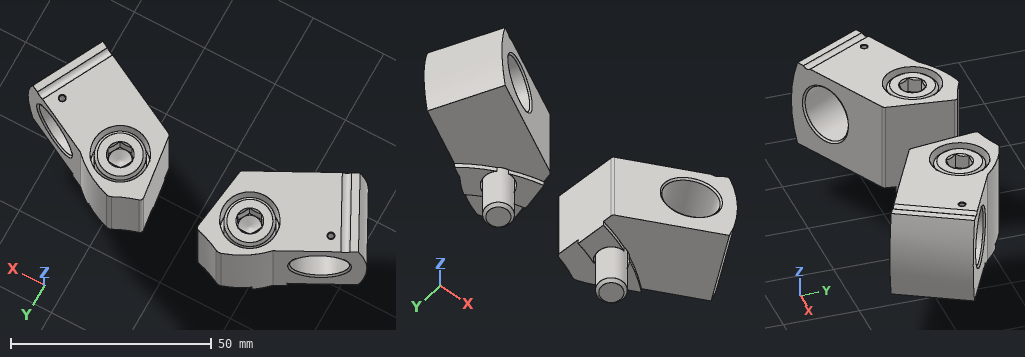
import cadquery as cq
import math


screw_pitch_radius = 43.6
screw_pitch_angle = 25.0
rib_width = 8.5
rib_height = 1.5
seat_radius = 32.1
nose_outer_angle = 28.9
nose_inner_angle = 13.7

block_angle = 27.5
block_height = 24.0
end_along = -29.4
inner_along = 2.6
front_across = -13.1
back_across = 8.0
bulge_radius = 35.0
bump_along = -6.0
bump_radius = 26.3
nose_outer_fillet = 1.9
nose_inner_fillet = 1.0
inner_edge_fillet = 1.0

bore_diameter = 14.9
bore_along = -17.5
bore_height = 12.9
bore_chamfer = 0.5
groove_width = 2.3
groove_depth = 0.5
groove_along = -24.0
vent_diameter = 1.5
vent_chamfer = 0.2
vent_along = -20.3
vent_across = 3.8

thread_diameter = 8.0
thread_end = -14.6
thread_chamfer = 0.9
head_diameter = 13.0
head_height = 8.0
head_chamfer = 0.8
head_recess = 0.6
socket_flats = 6.0
socket_depth = 4.0
socket_cone_depth = 1.7
clearance_diameter = 9.0
counterbore_diameter = 15.0

head_top = block_height - head_recess
head_seat = head_top - head_height


def on_ring(radius, angle):
    """Point at a radius and an angle from the -Y axis, on the -X side of the ring."""
    turn = math.radians(angle)
    return (-radius * math.sin(turn), -radius * math.cos(turn))


screw_x, screw_y = on_ring(screw_pitch_radius, screw_pitch_angle)
cos_block = math.cos(math.radians(block_angle))
sin_block = math.sin(math.radians(block_angle))


def in_block(along, across):
    """X and Y of a point given along and across the block."""
    return (
        screw_x + along * cos_block - across * sin_block,
        screw_y + along * sin_block + across * cos_block,
    )


def side_plane(across):
    """Upright plane parallel to the front face; its local x runs along the block, its y is Z."""
    x, y = in_block(0, across)
    return cq.Plane(origin=(x, y, 0), xDir=(cos_block, sin_block, 0), normal=(sin_block, -cos_block, 0))


def block_outline(height):
    """Plan shape of the block extruded from Z = 0, with its three rounded inner corners."""
    bump_start = in_block(bump_along, back_across)
    nose_outer = on_ring(seat_radius, nose_outer_angle)
    nose_middle = on_ring(seat_radius, (nose_outer_angle + nose_inner_angle) / 2)
    nose_inner = on_ring(seat_radius, nose_inner_angle)
    inner_front = in_block(inner_along, front_across)
    outline = (
        cq.Workplane("XY")
        .moveTo(*in_block(end_along, front_across))
        .lineTo(*in_block(end_along, back_across))
        .lineTo(*bump_start)
        .radiusArc(nose_outer, bump_radius)
        .threePointArc(nose_middle, nose_inner)
        .lineTo(*inner_front)
        .close()
        .extrude(height)
    )
    for corner, radius in (
        (nose_outer, nose_outer_fillet),
        (nose_inner, nose_inner_fillet),
        (inner_front, inner_edge_fillet),
    ):
        corner_edge = cq.selectors.NearestToPointSelector((*corner, height / 2))
        outline = outline.edges("|Z").edges(corner_edge).fillet(radius)
    return outline


def bulged_end():
    """Cylinder across the block, long enough to take in the bump, that rounds its far end."""
    return (
        cq.Workplane(side_plane(0))
        .center(end_along + bulge_radius, block_height / 2)
        .circle(bulge_radius)
        .extrude(back_across - front_across, both=True)
    )


def ring_rib():
    """Arc-shaped locating rib under the block, ending flush with the block walls."""
    ring = (
        cq.Workplane("XY")
        .circle(screw_pitch_radius + rib_width / 2)
        .circle(screw_pitch_radius - rib_width / 2)
        .extrude(-rib_height)
    )
    return ring.intersect(block_outline(-rib_height))


def cross_bore():
    """Through bore from front to back, chamfered at both mouths."""
    depth = back_across - front_across
    radius = bore_diameter / 2
    mouth = radius + bore_chamfer
    profile = [
        (0, 0),
        (mouth, 0),
        (radius, -bore_chamfer),
        (radius, bore_chamfer - depth),
        (mouth, -depth),
        (0, -depth),
    ]
    centre = side_plane(front_across).toWorldCoords((bore_along, bore_height))
    plane = cq.Plane(origin=centre, xDir=(cos_block, sin_block, 0), normal=(0, 0, -1))
    return cq.Workplane(plane).polyline(profile).close().revolve(360, (0, 0), (0, 1))


def index_groove():
    """Shallow round-bottomed groove across the top face."""
    radius = ((groove_width / 2) ** 2 + groove_depth**2) / (2 * groove_depth)
    return (
        cq.Workplane(side_plane(front_across))
        .center(groove_along, block_height - groove_depth + radius)
        .circle(radius)
        .extrude(front_across - back_across)
    )


def post(x, y, diameter, bottom, top):
    """Upright cylinder between two heights."""
    return cq.Workplane("XY", origin=(x, y, bottom)).circle(diameter / 2).extrude(top - bottom)


def vent_hole():
    """Upright hole from the top face into the bore, chamfered at its mouth."""
    x, y = in_block(vent_along, vent_across)
    shaft = post(x, y, vent_diameter, bore_height, block_height)
    radius = vent_diameter / 2
    mouth = cq.Solid.makeCone(
        radius + vent_chamfer, radius, vent_chamfer, cq.Vector(x, y, block_height), cq.Vector(0, 0, -1)
    )
    return shaft.union(cq.Workplane(mouth))


def clamp_block():
    """Block on the -X side."""
    return (
        block_outline(block_height)
        .intersect(bulged_end())
        .union(ring_rib())
        .cut(cross_bore())
        .cut(index_groove())
        .cut(vent_hole())
        .cut(post(screw_x, screw_y, clearance_diameter, -rib_height, block_height))
        .cut(post(screw_x, screw_y, counterbore_diameter, head_seat, block_height))
    )


def hex_socket(x, y):
    """Hexagonal socket with a countersunk mouth and a conical bottom."""
    corner_diameter = socket_flats / math.cos(math.pi / 6)
    mouth_depth = (corner_diameter - socket_flats) / 2
    floor = head_top - socket_depth
    hexagon = cq.Workplane("XY", origin=(x, y, floor)).polygon(6, corner_diameter).extrude(socket_depth)
    down = cq.Vector(0, 0, -1)
    mouth = cq.Solid.makeCone(
        corner_diameter / 2, socket_flats / 2, mouth_depth, cq.Vector(x, y, head_top), down
    )
    tip = cq.Solid.makeCone(socket_flats / 2, 0, socket_cone_depth, cq.Vector(x, y, floor), down)
    return hexagon.union(cq.Workplane(mouth)).union(cq.Workplane(tip))


def socket_screw(side):
    """Socket head screw; side is -1 for the -X block and 1 for the +X block."""
    x = -side * screw_x
    y = screw_y
    head = post(x, y, head_diameter, head_seat, head_top).faces(">Z").edges().chamfer(head_chamfer)
    thread = post(x, y, thread_diameter, thread_end, head_seat).faces("<Z").edges().chamfer(thread_chamfer)
    return head.union(thread).cut(hex_socket(x, y))


block = clamp_block()
blocks = [block, block.mirror("YZ")]
screws = [socket_screw(side) for side in (-1, 1)]

result = cq.Compound.makeCompound([body.solids().val() for body in blocks + screws])